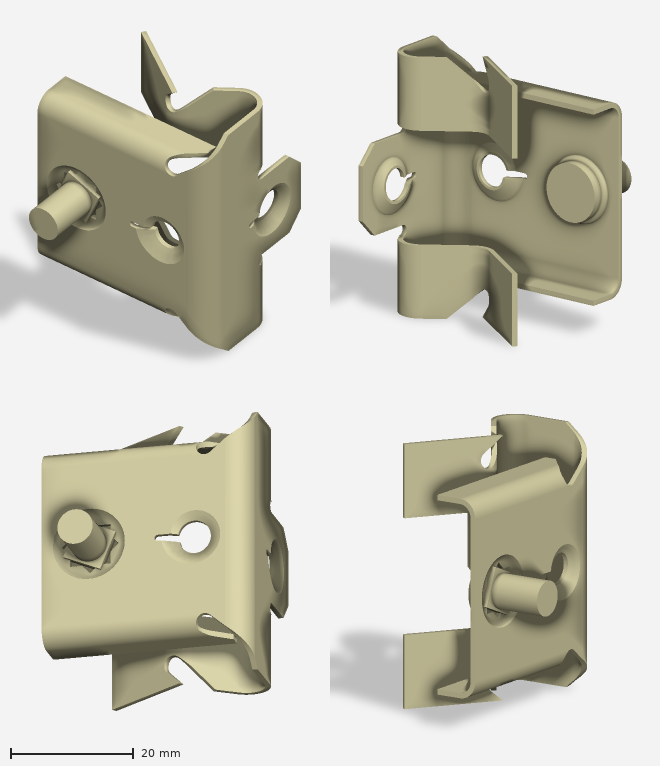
import cadquery as cq
import math

sheet = 0.9
half_height = 22.25
clip_width = 35.0

plate_half_height = 16.78
flange_depth = 7.48
flange_bend = 3.0
wall_bend = 4.0
inner_wall_bend = wall_bend - sheet

slot_radius = 1.5
slot_angle = 40.0
notch_x = 27.5
notch_z = 15.25
spring_slot_z = 18.35

tab_top = 25.0
tab_half_width = 7.85
tab_chamfer = 3.1
tab_gap = 2.0
tab_gap_bottom = 13.5

arm_slope = 35.0
crest_y = 13.35
arm_length = 8.35
leg_length = 13.25

dish_plate_x = 25.6
dish_wall_y = 17.58
dish_hole_radius = 2.7
dish_lip_radius = 3.15
dish_start_radius = 3.8
dish_end_radius = 5.4
dish_bulge_growth = 0.3
dish_slope = 0.6
slit_width = 1.02
slit_reach = 6.55

bolt_x = 8.0
seat_depth = 0.85
seat_rim_radius = 6.05
seat_floor_radius = 4.9
seat_bulge_radius = 5.85
square_side = 6.75
bolt_turn = 22.5
shank_radius = 3.0
shank_reach = 8.8
neck_front = 0.2
head_radius = 5.05
head_thickness = 1.65

wall_tangent_x = clip_width - wall_bend
flange_tangent_z = plate_half_height - flange_bend
mid_wall_bend = wall_bend - sheet / 2
mid_flange_bend = flange_bend - sheet / 2
arm_bottom = tab_half_width + tab_gap
slope = math.radians(arm_slope)
slot_cos = math.cos(math.radians(slot_angle))
slot_sin = math.sin(math.radians(slot_angle))
slot_tan = slot_sin / slot_cos
seat_floor_inside = seat_depth + sheet

crest_x = clip_width - wall_bend
bend_to_bend = inner_wall_bend + wall_bend
valley_x = crest_x - bend_to_bend * math.sin(slope) - arm_length * math.cos(slope)
valley_y = crest_y + bend_to_bend * math.cos(slope) - arm_length * math.sin(slope)

beyond = 2.22
bend_steps = 12
turn_steps = 16


def slot_lower_edge(u, centre_u, centre_v):
    """Height of the slot's lower edge at flat-sheet position u."""
    offset = u - centre_u
    if offset < slot_radius * slot_sin:
        return centre_v - math.sqrt(max(slot_radius ** 2 - offset ** 2, 0))
    return centre_v - slot_radius / slot_cos + offset * slot_tan


def slot_upper_edge(v, centre_u, centre_v):
    """Flat-sheet position of the slot's upper-left edge at height v."""
    offset = v - centre_v
    if offset < slot_radius * slot_cos:
        return centre_u - math.sqrt(max(slot_radius ** 2 - offset ** 2, 0))
    return centre_u - slot_radius / slot_sin + offset / slot_tan


def radial_loft(plane, start, end, steps, section):
    """Loft through sections standing radially about the plane's normal.

    section(angle) returns (radius, height) corners for an angle in radians."""
    wires = []
    for i in range(steps + 1):
        angle = start + (end - start) * i / steps
        corners = [
            plane.toWorldCoords((r * math.cos(angle), r * math.sin(angle), h))
            for r, h in section(angle)
        ]
        wires.append(cq.Wire.makePolygon(corners, close=True))
    return cq.Workplane(cq.Solid.makeLoft(wires))


def bend(plane, outer_radius, start, end, length):
    """Sheet bent about the plane's normal between two angles in radians."""
    inner_radius = outer_radius - sheet
    middle = (start + end) / 2

    def at(radius, angle):
        return radius * math.cos(angle), radius * math.sin(angle)

    return (
        cq.Workplane(plane)
        .moveTo(*at(inner_radius, start))
        .lineTo(*at(outer_radius, start))
        .threePointArc(at(outer_radius, middle), at(outer_radius, end))
        .lineTo(*at(inner_radius, end))
        .threePointArc(at(inner_radius, middle), at(inner_radius, start))
        .close()
        .extrude(length)
    )


def upper_plate():
    corner_z = slot_lower_edge(wall_tangent_x, notch_x, notch_z)
    tangent_x = notch_x + slot_radius * slot_sin
    tangent_z = notch_z - slot_radius * slot_cos
    outline = [
        (0, 0),
        (0, flange_tangent_z),
        (notch_x, flange_tangent_z),
        (tangent_x, tangent_z),
        (wall_tangent_x, corner_z),
        (wall_tangent_x, 0),
    ]
    slot_end = cq.Workplane("XZ").center(notch_x, notch_z).circle(slot_radius).extrude(-sheet)
    return cq.Workplane("XZ").polyline(outline).close().extrude(-sheet).cut(slot_end)


def upper_flange():
    """Flange bend and flat flange, both ending along the relief slot."""
    bend_plane = cq.Plane(origin=(0, flange_bend, flange_tangent_z), xDir=(0, -1, 0), normal=(1, 0, 0))
    start, end = 0, -math.pi / 2

    def trim(angle):
        edge = slot_upper_edge(flange_tangent_z + mid_flange_bend * abs(angle), notch_x, notch_z)
        near, far = flange_bend - 2 * sheet, flange_bend + sheet
        return [(near, edge), (far, edge), (far, clip_width), (near, clip_width)]

    curved = bend(bend_plane, flange_bend, start, end, wall_tangent_x)
    curved = curved.cut(radial_loft(bend_plane, start, end, bend_steps, trim))

    flat_start = flange_tangent_z + mid_flange_bend * math.pi / 2
    edge_x = slot_upper_edge(flat_start, notch_x, notch_z)
    outline = [
        (0, flange_bend),
        (edge_x, flange_bend),
        (wall_tangent_x, flange_bend + (wall_tangent_x - edge_x) * slot_tan),
        (wall_tangent_x, flange_depth),
        (0, flange_depth),
    ]
    flat = (
        cq.Workplane("XY", origin=(0, 0, plate_half_height - sheet))
        .polyline(outline).close().extrude(sheet)
    )
    return curved.union(flat)


def upper_wall():
    """Bend from the plate, back wall with half of the centre tab."""
    bend_plane = cq.Plane(origin=(wall_tangent_x, wall_bend, 0), xDir=(0, -1, 0), normal=(0, 0, 1))

    def trim(angle):
        edge = slot_lower_edge(wall_tangent_x + mid_wall_bend * angle, notch_x, notch_z)
        near, far = inner_wall_bend - sheet, wall_bend + sheet
        top = half_height + beyond
        return [(near, edge), (far, edge), (far, top), (near, top)]

    curved = bend(bend_plane, wall_bend, 0, math.pi / 2, half_height)
    curved = curved.cut(radial_loft(bend_plane, 0, math.pi / 2, bend_steps, trim))

    edge_z = slot_lower_edge(wall_tangent_x + mid_wall_bend * math.pi / 2, notch_x, notch_z)
    gap_radius = tab_gap / 2
    gap_centre_y = tab_gap_bottom + gap_radius
    flat = (
        cq.Workplane("YZ", origin=(clip_width - sheet, 0, 0))
        .moveTo(wall_bend, 0)
        .lineTo(wall_bend, edge_z)
        .lineTo(wall_bend + (half_height - edge_z) / slot_tan, half_height)
        .lineTo(crest_y, half_height)
        .lineTo(crest_y, arm_bottom)
        .lineTo(gap_centre_y, arm_bottom)
        .threePointArc((tab_gap_bottom, arm_bottom - gap_radius), (gap_centre_y, tab_half_width))
        .lineTo(tab_top - tab_chamfer, tab_half_width)
        .lineTo(tab_top, tab_half_width - tab_chamfer)
        .lineTo(tab_top, 0)
        .close()
        .extrude(sheet)
    )
    return curved.union(flat)


def upper_spring():
    """Crest bend, sloping arm, valley bend and rising leg."""
    arm_height = half_height - arm_bottom
    crest_plane = cq.Plane(origin=(crest_x, crest_y, arm_bottom))
    crest = bend(crest_plane, wall_bend, 0, math.pi / 2 + slope, arm_height)

    valley_length = mid_wall_bend * 2 * slope
    slot_u = slot_radius

    valley_plane = cq.Plane(origin=(valley_x, valley_y, 0), xDir=(0, -1, 0))
    valley_bend_plane = cq.Plane(origin=(valley_x, valley_y, arm_bottom), xDir=(0, -1, 0))

    def trim(angle):
        edge = slot_lower_edge(mid_wall_bend * (angle + slope), slot_u, spring_slot_z)
        near, far = inner_wall_bend - sheet, wall_bend + sheet
        top = half_height + beyond
        return [(near, edge), (far, edge), (far, top), (near, top)]

    valley = bend(valley_bend_plane, wall_bend, -slope, slope, arm_height)
    valley = valley.cut(radial_loft(valley_plane, -slope, slope, bend_steps, trim))

    reach_x = wall_bend * math.sin(slope)
    reach_y = wall_bend * math.cos(slope)
    arm_plane = cq.Plane(
        origin=(valley_x + reach_x, valley_y - reach_y, 0),
        xDir=(math.cos(slope), math.sin(slope), 0),
        normal=(math.sin(slope), -math.cos(slope), 0),
    )
    arm_edge_z = slot_lower_edge(valley_length, slot_u, spring_slot_z)
    arm_outline = [
        (0, arm_bottom),
        (0, arm_edge_z),
        ((half_height - arm_edge_z) / slot_tan, half_height),
        (arm_length, half_height),
        (arm_length, arm_bottom),
    ]
    arm = cq.Workplane(arm_plane).polyline(arm_outline).close().extrude(-sheet)

    leg_plane = cq.Plane(
        origin=(valley_x - reach_x, valley_y - reach_y, 0),
        xDir=(math.cos(slope), -math.sin(slope), 0),
        normal=(-math.sin(slope), -math.cos(slope), 0),
    )
    half_turn = math.radians(90 - slot_angle) / 2
    leg = (
        cq.Workplane(leg_plane)
        .moveTo(-leg_length, arm_bottom)
        .lineTo(0, arm_bottom)
        .lineTo(0, spring_slot_z)
        .threePointArc(
            (slot_u - slot_radius * math.cos(half_turn), spring_slot_z + slot_radius * math.sin(half_turn)),
            (slot_u - slot_radius * slot_sin, spring_slot_z + slot_radius * slot_cos),
        )
        .lineTo(slot_upper_edge(half_height, slot_u, spring_slot_z), half_height)
        .lineTo(-leg_length, half_height)
        .close()
        .extrude(-sheet)
    )
    return crest.union(valley).union(arm).union(leg)


def press_threaded_dish(body, plane):
    """Press a spiral dish along the plane's normal, with a slit along its X direction."""
    core = dish_hole_radius / 2
    skip = math.radians(5)

    def rim(angle):
        turn = angle / (2 * math.pi)
        return dish_start_radius + (dish_end_radius - dish_start_radius) * turn

    def bulge_section(angle):
        radius = rim(angle) + dish_bulge_growth
        lip = sheet + dish_slope * (radius - dish_lip_radius)
        root = sheet / 2
        return [(core, root), (radius, root), (radius, sheet), (dish_lip_radius, lip), (core, lip)]

    def pit_section(angle):
        radius = rim(angle)
        below = 0.45
        floor = dish_slope * (radius - core)
        return [(core, -below), (radius + below / dish_slope, -below), (core, floor)]

    turn = (skip, 2 * math.pi - skip, turn_steps)
    depth = 2 * dish_end_radius
    hole = cq.Workplane(plane).circle(dish_hole_radius).extrude(depth, both=True)
    slit = (
        cq.Workplane(plane)
        .center((slit_reach - slit_width) / 2, 0)
        .slot2D(slit_reach + slit_width, slit_width)
        .extrude(depth, both=True)
    )
    body = body.union(radial_loft(plane, *turn, bulge_section))
    return body.cut(radial_loft(plane, *turn, pit_section)).cut(hole).cut(slit)


def tangent_cap(rim_radius, floor_radius, height):
    """Round cap along +Y whose arc side runs tangentially into its flat top."""
    run = rim_radius - floor_radius
    arc_radius = (run ** 2 + height ** 2) / (2 * height)
    half_sweep = math.asin(run / arc_radius) / 2
    middle = (
        floor_radius + arc_radius * math.sin(half_sweep),
        height - arc_radius * (1 - math.cos(half_sweep)),
    )
    return (
        cq.Workplane("XY")
        .lineTo(rim_radius, 0)
        .threePointArc(middle, (floor_radius, height))
        .lineTo(0, height)
        .close()
        .revolve(360, (0, 0, 0), (0, 1, 0))
        .translate((bolt_x, 0, 0))
    )


def square_prism(turn, start_y, end_y):
    """Square prism on the bolt axis, turned about that axis."""
    return (
        cq.Workplane("XZ")
        .rect(square_side, square_side)
        .extrude(-(end_y - start_y))
        .rotate((0, 0, 0), (0, 1, 0), turn)
        .translate((bolt_x, start_y, 0))
    )


def press_bolt_seat(body):
    """Emboss the seat and pierce its floor with a star of three squares."""
    bulge = tangent_cap(seat_bulge_radius, seat_floor_radius, seat_depth).translate((0, sheet, 0))
    body = body.union(bulge).cut(tangent_cap(seat_rim_radius, seat_floor_radius, seat_depth))
    for turn in (0, 45, bolt_turn):
        body = body.cut(square_prism(turn, 0, seat_floor_inside))
    return body


def make_clip():
    half = upper_plate().union(upper_flange()).union(upper_wall()).union(upper_spring())
    body = half.union(half.mirror("XY"))
    body = press_threaded_dish(
        body, cq.Plane(origin=(dish_plate_x, 0, 0), xDir=(-1, 0, 0), normal=(0, 1, 0))
    )
    body = press_threaded_dish(
        body, cq.Plane(origin=(clip_width, dish_wall_y, 0), xDir=(0, -1, 0), normal=(-1, 0, 0))
    )
    return press_bolt_seat(body)


def make_bolt():
    """Round head inside the clip, square neck in the star, plain shank outside."""
    head = (
        cq.Workplane("XZ", origin=(bolt_x, seat_floor_inside, 0))
        .circle(head_radius).extrude(-head_thickness)
    )
    neck = square_prism(bolt_turn, neck_front, seat_floor_inside)
    shank = (
        cq.Workplane("XZ", origin=(bolt_x, neck_front, 0))
        .circle(shank_radius).extrude(shank_reach + neck_front)
    )
    return head.union(neck).union(shank)


clip = make_clip()
bolt = make_bolt()
result = cq.Compound.makeCompound([clip.solids().val(), bolt.solids().val()])